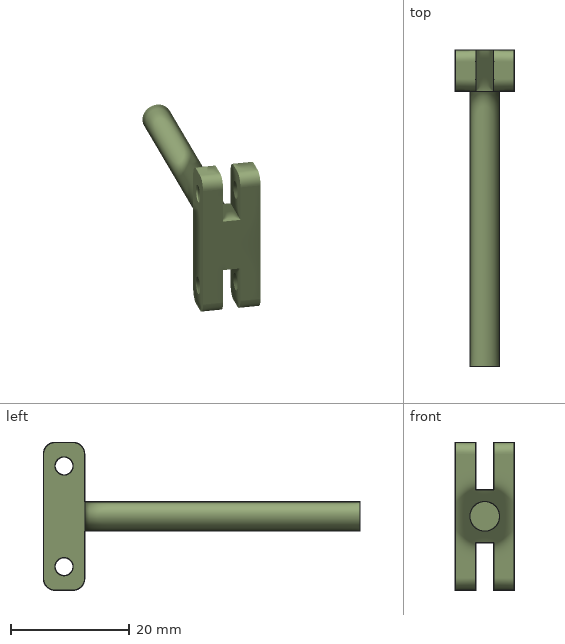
import cadquery as cq

head_width = 10.0
head_depth = 7.0
head_height = 25.0
corner_radius = 2.0

slot_width = 3.0
slot_depth = 8.0

pin_diameter = 3.0
pin_end_distance = 4.0

rod_diameter = 5.0
rod_length = 46.5


def make_head():
    """Block with the four edges along X rounded."""
    block = cq.Workplane("XY").box(head_width, head_depth, head_height)
    return block.edges("|X").fillet(corner_radius)


def make_slot(end):
    """Cutter for the fork slot at the top (end = 1) or bottom (end = -1)."""
    center_z = end * (head_height - slot_depth) / 2
    slot = cq.Workplane("XY").box(slot_width, head_depth, slot_depth)
    return slot.translate((0, 0, center_z))


def make_pin_hole(end):
    """Cutter along X for the pin hole at the top (end = 1) or bottom (end = -1)."""
    center_z = end * (head_height / 2 - pin_end_distance)
    section = cq.Workplane("YZ").center(0, center_z).circle(pin_diameter / 2)
    return section.extrude(head_width / 2, both=True)


def make_rod():
    """Round rod starting on the front face of the head."""
    front_face = cq.Workplane("XZ", origin=(0, -head_depth / 2, 0))
    return front_face.circle(rod_diameter / 2).extrude(rod_length)


result = make_head()
for end in (1, -1):
    result = result.cut(make_slot(end))
    result = result.cut(make_pin_hole(end))
result = result.union(make_rod())